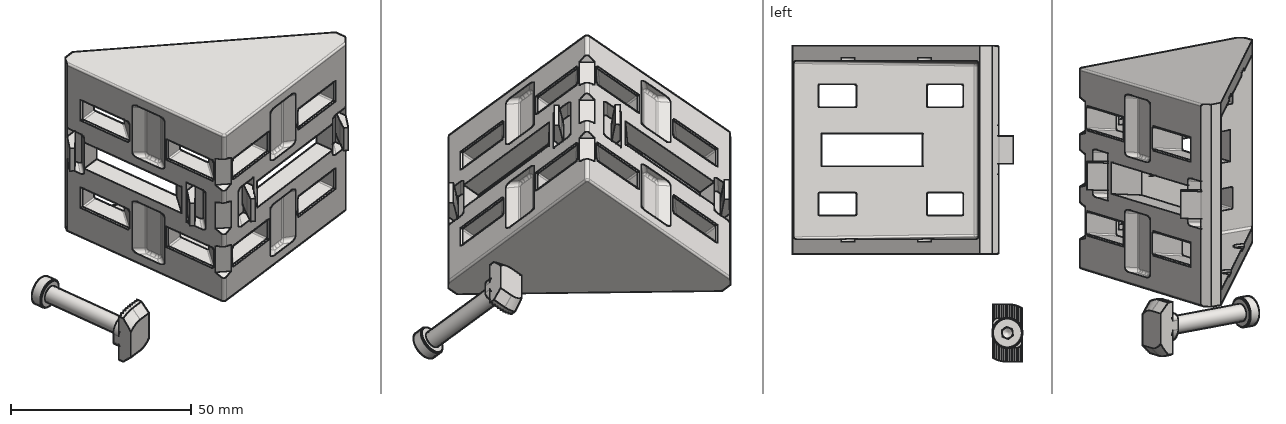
import cadquery as cq
import math

leg_length = 57.25
height = 57.8
leg_thickness = 5.7
end_width = 5.3
end_chamfer = 2.2
end_chamfer_depth = 1.85
outer_draft = 0.25
corner_round = 1.0
rim_round = 0.6
open_side_sum = leg_length + end_width
open_side_to_corner = open_side_sum / math.sqrt(2)

cavity_half_height = 24.8
cavity_draft = 0.8
cavity_corner_round = 1.2
cavity_round = 0.7
cavity_overrun = 4.0

window_height = 6.3
window_level = 15.0
window_spans = ((3.6, 19.9), (33.2, 50.0))
mouth_chamfer = 0.4
window_round = 0.4
slot_height = 9.0
slot_span = (14.9, 49.1)
slant_run = 6.3
cut_overrun = 0.5

recess_span = (20.9, 32.3)
recess_height = 17.8
recess_level = 16.45
recess_depth = 2.4
recess_side_slope = 3.0
recess_corner_round = 1.2
recess_floor_round = 0.9

tab_starts = (12.95, leg_length - end_chamfer)
tab_reach = 4.0
tab_root_width = 2.8
tab_tip = (1.0, 0.9)
tab_height = 7.8
tab_pocket_spans = ((6.45, 13.3), (49.1, leg_length - end_chamfer))
tab_pocket_height = 13.6
tab_pocket_depth = 3.7
tab_pocket_round = 1.0
tab_root_depth = 1.9

notch_levels = (-window_level, 0.0, window_level)
notch_depth = 2.2
notch_half_height = 4.5
notch_flare = 1.1

scallop_radius = 2.65
scallop_half_height = 25.5
scallop_offset = 15.0

axis_y = -2.35
axis_z = -50.73
head_left = -62.68
head_diameter = 8.5
head_length = 3.5
head_edge = 0.3
shank_diameter = 5.0
shank_end = -34.4
core_diameter = 4.5
hex_width = 3.0
hex_turn = 7.0
hex_depth = 1.5
hex_cone_depth = 0.9

boss_left = -33.9
boss_length = 1.9
plate_length = 4.3
plate_flat = 1.6
plate_height = 16.0
nut_width = 8.2
boss_rounds = ((-1, 1, 4.0), (1, -1, 4.0), (1, 1, 1.5), (-1, -1, 1.5))
tooth_count = 8
tooth_depth = 0.35


def leg_prism(points, tall, level=0.0):
    """Vertical prism in the -Y leg from (along, deep) points, centred at the given level."""
    outline = [(-along, deep) for along, deep in points]
    return cq.Workplane("XY").workplane(offset=level - tall / 2).polyline(outline).close().extrude(tall)


def diagonal_prism(points, length):
    """Prism along the open side; points are (distance inward from the corner edge, Z)."""
    plane = cq.Plane(origin=(0, 0, 0), xDir=(-1, 1, 0), normal=(1, 1, 0))
    return cq.Workplane(plane).polyline(points).close().extrude(length, both=True)


def outer_block():
    chamfer_end = leg_length - end_chamfer
    outline = [
        (0, 0), (chamfer_end, 0), (leg_length, end_chamfer_depth), (leg_length, end_width),
        (end_width, leg_length), (end_chamfer_depth, leg_length), (0, chamfer_end),
    ]
    half = height / 2
    corner_half = half - outer_draft
    draft = diagonal_prism(
        [(0, -corner_half), (open_side_to_corner, -half), (open_side_to_corner, half), (0, corner_half)],
        leg_length,
    )
    block = leg_prism(outline, height).intersect(draft)
    block = block.edges(cq.NearestToPointSelector((0, 0, 0))).fillet(corner_round)
    return block.faces("<Y or >X").edges("not(|Z)").fillet(rim_round)


def cavity():
    far = open_side_sum + cavity_overrun - leg_thickness
    outline = [(leg_thickness, leg_thickness), (far, leg_thickness), (leg_thickness, far)]
    inner_corner = leg_thickness * math.sqrt(2)
    outer = open_side_to_corner + cavity_overrun
    mouth = cavity_half_height
    bottom = cavity_half_height - cavity_draft
    draft = diagonal_prism(
        [(inner_corner, -bottom), (outer, -mouth), (outer, mouth), (inner_corner, bottom)],
        leg_length,
    )
    space = leg_prism(outline, height).intersect(draft)
    corner = (-leg_thickness, leg_thickness, 0)
    space = space.edges(cq.NearestToPointSelector(corner)).fillet(cavity_corner_round)
    return space.faces("<Y or >X").edges("not(|Z)").fillet(cavity_round)


def slanted_opening(span, tall, level):
    """Through opening: square wall at the far end, slanted wall at the end near the corner."""
    near, far = span
    depth = leg_thickness + cut_overrun
    run = slant_run * depth / leg_thickness
    return leg_prism([(near, 0), (near + run, depth), (far, depth), (far, 0)], tall, level)


def window(span, level):
    near, far = span
    mouth_near = near + mouth_chamfer
    mouth_far = far + mouth_chamfer
    mouth = (
        cq.Workplane("XZ", origin=(-(mouth_near + mouth_far) / 2, 0, level))
        .rect(mouth_far - mouth_near, window_height + 2 * mouth_chamfer)
        .extrude(-mouth_chamfer, taper=45)
    )
    opening = slanted_opening(span, window_height, level)
    opening = opening.edges("(not |X) and (not |Z)").fillet(window_round)
    return opening.union(mouth)


def recess(level):
    """Shallow blind recess with two sloping sides and square ends."""
    near, far = recess_span
    points = [
        (near, 0), (near + recess_side_slope, recess_depth),
        (far - recess_side_slope, recess_depth), (far, 0),
    ]
    shape = leg_prism(points, recess_height, level)
    shape = shape.edges("(not |X) and (not |Z)").fillet(recess_corner_round)
    return shape.faces(">Y").edges().fillet(recess_floor_round)


def tab_pocket(span):
    front, back = span
    points = [(back, 0), (back, tab_pocket_depth), (front + tab_pocket_depth, tab_pocket_depth), (front, 0)]
    pocket = leg_prism(points, tab_pocket_height)
    return pocket.edges("(not |X) and (not |Y) and (not |Z)").fillet(tab_pocket_round)


def tab(start):
    """Tapered tab leaning toward the corner, rooted in its pocket."""
    tip_across, tip_rise = tab_tip
    root_back = start + tab_root_depth
    points = [
        (start - tab_reach, -tab_reach),
        (root_back, tab_root_depth),
        (root_back, tab_pocket_depth),
        (start, tab_pocket_depth),
        (start - tab_root_width, 0),
        (start - tab_reach - tip_across, -tab_reach + tip_rise),
    ]
    return leg_prism(points, tab_height)


def corner_notch(level):
    wide = notch_half_height + notch_flare
    points = [
        (0, level - wide), (notch_depth, level - notch_half_height),
        (notch_depth, level + notch_half_height), (0, level + wide),
    ]
    return diagonal_prism(points, 2 * notch_depth)


def scallop(offset):
    """Round hollow that bites into both side walls at the edge of the open side."""
    middle = open_side_sum / 2
    shift = offset / math.sqrt(2)
    return (
        cq.Workplane("XY", origin=(-middle + shift, middle + shift, 0))
        .circle(scallop_radius)
        .extrude(scallop_half_height, both=True)
    )


def make_bracket():
    body = outer_block().cut(cavity())
    cutters = [slanted_opening(slot_span, slot_height, 0)]
    for side in (-1, 1):
        cutters.append(recess(side * recess_level))
        for span in window_spans:
            cutters.append(window(span, side * window_level))
    for span in tab_pocket_spans:
        cutters.append(tab_pocket(span))
    for cutter in cutters:
        body = body.cut(cutter).cut(cutter.mirror((1, 1, 0)))
    for level in notch_levels:
        body = body.cut(corner_notch(level))
    for side in (-1, 1):
        body = body.cut(scallop(side * scallop_offset))
    for start in tab_starts:
        body = body.union(tab(start)).union(tab(start).mirror((1, 1, 0)))
    return body


def across_axis(x):
    """Workplane square to the screw axis: local x is +Y, local y is +Z."""
    return cq.Workplane("YZ", origin=(x, axis_y, axis_z))


def make_screw():
    head = across_axis(head_left).circle(head_diameter / 2).extrude(head_length).edges().chamfer(head_edge)
    shank_start = head_left + head_length
    shank = across_axis(shank_start).circle(shank_diameter / 2).extrude(shank_end - shank_start)
    core = across_axis(shank_end).circle(core_diameter / 2).extrude(boss_left - shank_end)
    socket = (
        across_axis(head_left)
        .transformed(rotate=(0, 0, -hex_turn))
        .polygon(6, hex_width, circumscribed=True)
        .extrude(hex_depth)
    )
    cone = cq.Workplane("XY").add(
        cq.Solid.makeCone(
            hex_width / 2, 0, hex_cone_depth,
            pnt=cq.Vector(head_left + hex_depth, axis_y, axis_z), dir=cq.Vector(1, 0, 0),
        )
    )
    return head.union(shank).union(core).cut(socket).cut(cone)


def make_nut():
    plate_left = boss_left + boss_length
    plate_right = plate_left + plate_length
    slope = plate_length - plate_flat
    half = plate_height / 2
    upper = [(plate_right, half - slope), (plate_left + plate_flat, half), (plate_left, half)]
    lower = [(x, -z) for x, z in reversed(upper)]
    plate = (
        cq.Workplane("XZ", origin=(0, axis_y, axis_z))
        .polyline(lower + upper)
        .close()
        .extrude(nut_width / 2, both=True)
    )

    turned = [(plate_left, 0), (plate_right, 0)] + upper
    swing = (
        cq.Workplane("XZ", origin=(0, axis_y, axis_z))
        .polyline(turned)
        .close()
        .revolve(360, (0, 0, 0), (1, 0, 0))
    )
    for turn in (-1, 1):
        quarter = (
            across_axis(plate_left)
            .center(-turn * nut_width / 4, turn * half / 2)
            .rect(nut_width / 2, half)
            .extrude(plate_length)
        )
        plate = plate.cut(quarter.cut(swing))

    pitch = nut_width / tooth_count
    for index in range(tooth_count):
        middle = (index - (tooth_count - 1) / 2) * pitch
        groove = (
            cq.Workplane("XY", origin=(plate_left, axis_y + middle, axis_z))
            .polyline([(0, -pitch / 2), (tooth_depth, 0), (0, pitch / 2)])
            .close()
            .extrude(half, both=True)
        )
        plate = plate.cut(groove)

    boss = across_axis(boss_left).rect(nut_width, nut_width).extrude(boss_length + tooth_depth)
    boss_middle = boss_left + (boss_length + tooth_depth) / 2
    for side_y, side_z, radius in boss_rounds:
        edge_middle = (boss_middle, axis_y + side_y * nut_width / 2, axis_z + side_z * nut_width / 2)
        boss = boss.edges(cq.NearestToPointSelector(edge_middle)).fillet(radius)
    return plate.union(boss)


bracket = make_bracket()
screw = make_screw()
nut = make_nut()

result = cq.Compound.makeCompound([bracket.val(), screw.val(), nut.val()])